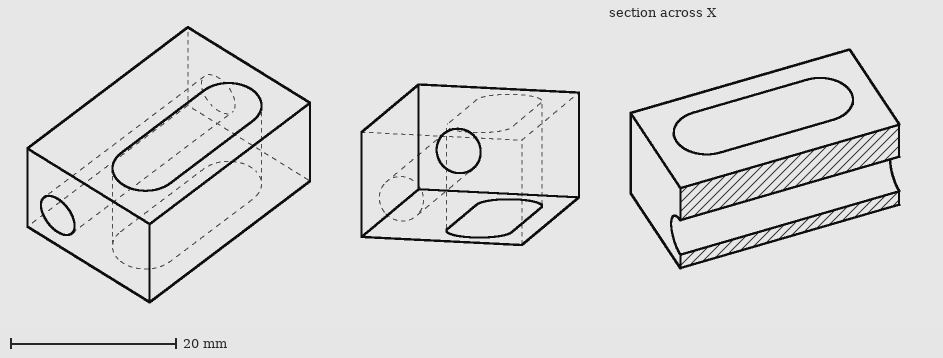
import cadquery as cq

block_width = 20.0
block_length = 29.0
block_height = 13.0

slot_width = 8.0
slot_length = 23.0
slot_center_x = 13.0

hole_diameter = 5.5
hole_edge_distance = 5.0


def make_block():
    return cq.Workplane("XY").box(block_width, block_length, block_height, centered=False)


def make_slot():
    return (
        cq.Workplane("XY")
        .center(slot_center_x, block_length / 2)
        .slot2D(slot_length, slot_width, angle=90)
        .extrude(block_height)
    )


def make_hole():
    return (
        cq.Workplane("XZ")
        .center(hole_edge_distance, hole_edge_distance)
        .circle(hole_diameter / 2)
        .extrude(-block_length)
    )


result = make_block().cut(make_slot()).cut(make_hole())